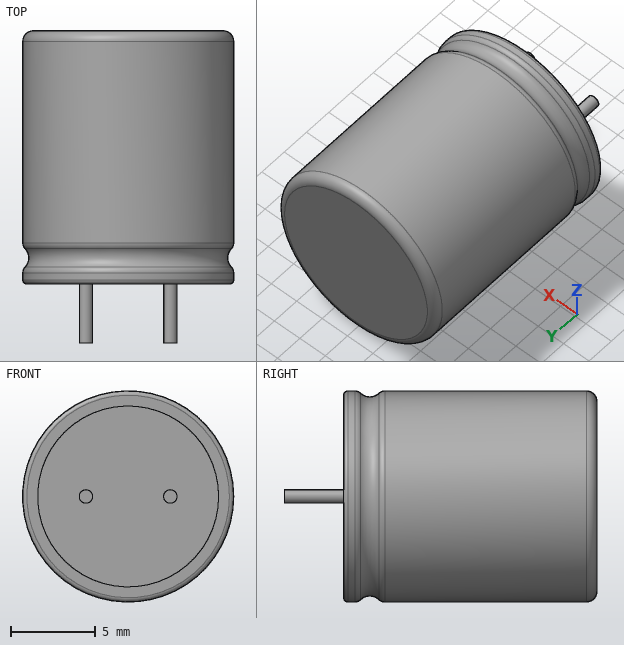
import cadquery as cq
import math

can_diameter = 12.5
total_length = 18.5
lead_length = 3.5
can_length = total_length - lead_length
top_fillet = 0.63
rim_fillet = 0.25

groove_center_y = 1.55
groove_depth = 0.35
groove_radius = 0.8
groove_blend_radius = 0.5

seal_diameter = 10.71
seal_recess = 0.1

lead_diameter = 0.8
lead_pitch = 5.0

can_radius = can_diameter / 2


def make_can():
    """Plain cylinder, rounded at both ends."""
    can = cq.Workplane("XZ").circle(can_radius).extrude(-can_length)
    can = can.faces(">Y").edges().fillet(top_fillet)
    return can.faces("<Y").edges().fillet(rim_fillet)


def make_groove():
    """Ring of material removed by the crimp, revolved about the can axis."""
    center_distance = groove_radius + groove_blend_radius
    center_drop = center_distance - groove_depth
    half_width = math.sqrt(center_distance**2 - center_drop**2)
    groove_floor = can_radius - groove_depth
    groove_center_x = groove_floor + groove_radius
    blend_center_x = can_radius - groove_blend_radius

    tangent_x = groove_center_x - center_drop * groove_radius / center_distance
    tangent_offset = half_width * groove_radius / center_distance

    blend_half_angle = math.asin(half_width / center_distance) / 2
    blend_mid_x = blend_center_x + groove_blend_radius * math.cos(blend_half_angle)
    blend_mid_offset = half_width - groove_blend_radius * math.sin(blend_half_angle)

    section = (
        cq.Workplane("XY")
        .moveTo(can_radius, groove_center_y - half_width)
        .threePointArc(
            (blend_mid_x, groove_center_y - blend_mid_offset),
            (tangent_x, groove_center_y - tangent_offset),
        )
        .threePointArc(
            (groove_floor, groove_center_y),
            (tangent_x, groove_center_y + tangent_offset),
        )
        .threePointArc(
            (blend_mid_x, groove_center_y + blend_mid_offset),
            (can_radius, groove_center_y + half_width),
        )
        .close()
    )
    return section.revolve(360, (0, 0, 0), (0, 1, 0))


def make_seal_recess():
    """Disc removed from the lead end, leaving the rolled rim proud of the seal."""
    return cq.Workplane("XZ").circle(seal_diameter / 2).extrude(-seal_recess)


def make_leads():
    """Pair of round leads standing on the seal."""
    return (
        cq.Workplane("XZ", origin=(0, seal_recess, 0))
        .pushPoints([(-lead_pitch / 2, 0), (lead_pitch / 2, 0)])
        .circle(lead_diameter / 2)
        .extrude(lead_length + seal_recess)
    )


result = make_can().cut(make_groove()).cut(make_seal_recess()).union(make_leads())